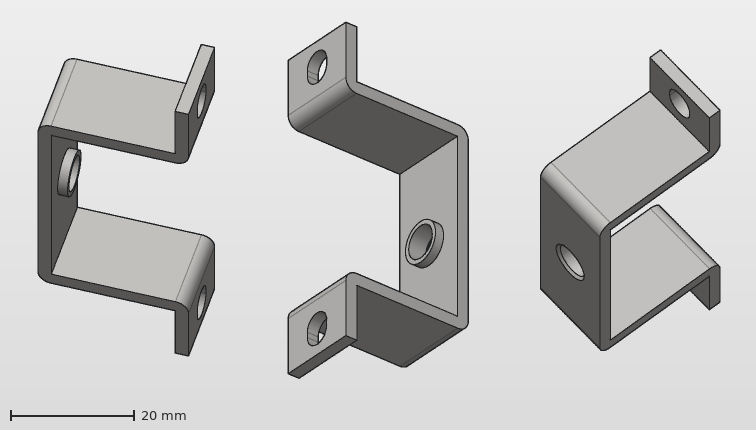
import cadquery as cq

height = 60.0
depth = 25.5
width = 15.0
sheet = 2.3
bend_radius = 2.2

web_height = 39.0
half_height = height / 2
half_web = web_height / 2
flange_inner = depth - sheet

slot_width = 5.0
slot_length = 6.0
slot_height = 25.0

collar_diameter = 7.8
collar_length = 1.7
bore_diameter = 6.1
bore_mouth_diameter = 7.1
bore_chamfer = (bore_mouth_diameter - bore_diameter) / 2


def hat_profile():
    """Bent strip, symmetric about the XY plane, extruded along Y."""
    upper = [
        (0, half_web),
        (flange_inner, half_web),
        (flange_inner, half_height),
        (depth, half_height),
        (depth, half_web - sheet),
        (sheet, half_web - sheet),
    ]
    lower = [(x, -z) for x, z in reversed(upper)]
    strip = cq.Workplane("XZ").polyline(upper + lower).close().extrude(width / 2, both=True)
    for x, z in [(0, half_web), (depth, half_web - sheet)]:
        for side in (1, -1):
            corner = cq.selectors.NearestToPointSelector((x, 0, side * z))
            strip = strip.edges(corner).fillet(bend_radius)
    return strip


def flange_slots():
    """Obround cutters, long side along Z, one for each flange."""
    return (
        cq.Workplane("YZ")
        .pushPoints([(0, slot_height), (0, -slot_height)])
        .slot2D(slot_length, slot_width, 90)
        .extrude(depth)
    )


def collar():
    """Round boss on the inner face of the web."""
    return cq.Workplane("YZ", origin=(sheet, 0, 0)).circle(collar_diameter / 2).extrude(collar_length)


def collar_bore():
    """Through bore with a chamfered mouth on the outer face of the web."""
    bore = cq.Workplane("YZ").circle(bore_diameter / 2).extrude(sheet + collar_length)
    mouth = cq.Solid.makeCone(
        bore_mouth_diameter / 2, bore_diameter / 2, bore_chamfer,
        pnt=cq.Vector(0, 0, 0), dir=cq.Vector(1, 0, 0),
    )
    return bore.union(cq.Workplane(mouth))


result = hat_profile().union(collar()).cut(collar_bore()).cut(flange_slots())